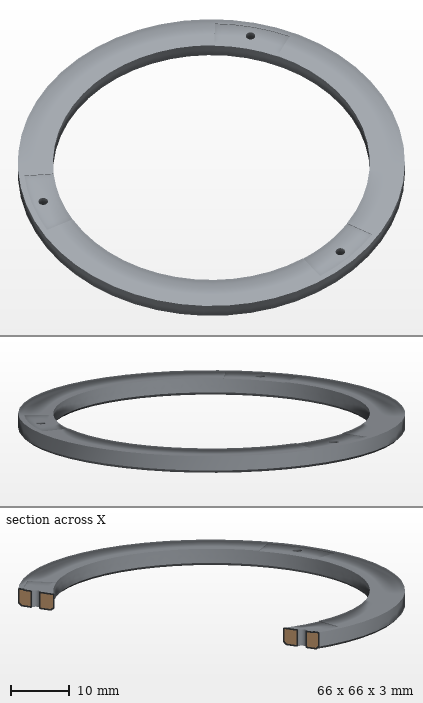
import cadquery as cq

OUTER_DIAMETER = 66.0
INNER_DIAMETER = 54.0
THICKNESS = 3.0
BOTTOM_CHAMFER = 0.5

SEAT_COUNT = 3
FULL_TURN = 360
SEAT_SPACING = FULL_TURN / SEAT_COUNT
SEAT_OUTER_DIAMETER = 64.0
SEAT_ANGLE = 23.5
SEAT_DEPTH = 0.1

HOLE_DIAMETER = 1.6
HOLE_CIRCLE_DIAMETER = (OUTER_DIAMETER + INNER_DIAMETER) / 2


def make_ring():
    """Flat ring with a chamfer on both edges of the bottom face."""
    ring = (
        cq.Workplane("XY")
        .circle(OUTER_DIAMETER / 2)
        .circle(INNER_DIAMETER / 2)
        .extrude(THICKNESS)
    )
    return ring.faces("<Z").edges().chamfer(BOTTOM_CHAMFER)


def make_seat_cutter(center_angle):
    """Circular sector with radial sides, centred on the given angle in degrees."""
    sector = cq.Solid.makeCylinder(
        SEAT_OUTER_DIAMETER / 2,
        SEAT_DEPTH,
        cq.Vector(0, 0, THICKNESS - SEAT_DEPTH),
        cq.Vector(0, 0, 1),
        SEAT_ANGLE,
    )
    start_angle = center_angle - SEAT_ANGLE / 2
    return cq.Workplane(sector).rotate((0, 0, 0), (0, 0, 1), start_angle)


def make_holes():
    """Through-hole cutters spaced evenly, the first one on +X."""
    return (
        cq.Workplane("XY")
        .polarArray(HOLE_CIRCLE_DIAMETER / 2, 0, FULL_TURN, SEAT_COUNT)
        .circle(HOLE_DIAMETER / 2)
        .extrude(THICKNESS)
    )


result = make_ring()
for index in range(SEAT_COUNT):
    result = result.cut(make_seat_cutter(index * SEAT_SPACING))
result = result.cut(make_holes())